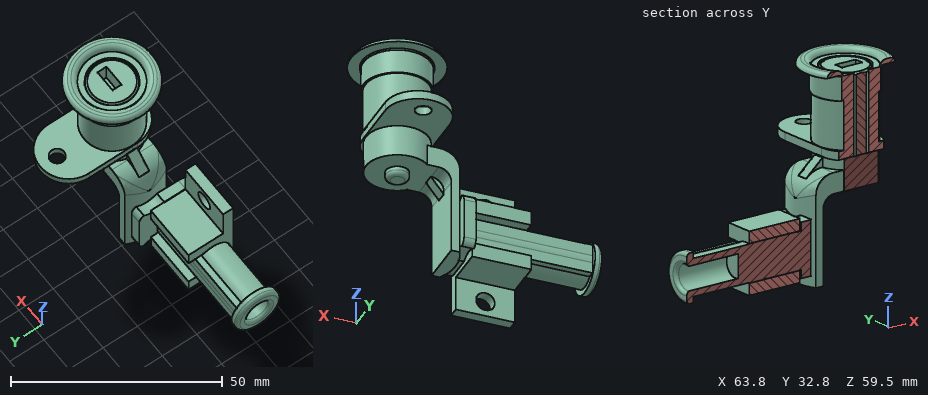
import cadquery as cq


overall_length = 63.8
overall_depth = 32.8
flange_radius = 23.7 / 2
flange_thick = 1.4
flange_round = 1.2
mouth_radius = 8.15
mouth_round = 1.6
neck_radius = 17.1 / 2
neck_flare = 0.3
neck_bottom = -7.9
barrel_radius = 16.3 / 2
plate_top = -20.2
plate_bottom = -22.45
plate_radius = 16.5 / 2
plate_near_y = -1.4
plate_far_y = overall_depth - flange_radius - plate_radius
plate_hole_dia = 4.0
plate_hole_y = 16.0
core_bore_radius = 13.0 / 2

core_radius = 12.7 / 2
core_chamfer = 0.5
core_top = -mouth_round
key_slot_length = 6.05
key_slot_width = 2.6
key_slot_depth = 5.1
key_slot_x = 1.0
stub_radius = 5.8 / 2
stub_bottom = -32.6
stub_round = 1.15

hub_radius = 16.0 / 2
hub_bottom = -30.55
arm_half_width = 6.1
arm_outer_x = -14.9
arm_inner_x = -11.3
arm_crown = 1.45
arm_top = -25.2
arm_bottom = -52.95
outer_bend = 6.7
inner_bend = 3.3
crease_round = 3.8
rib_width = 3.0
outer_rib_root_x = -7.6
outer_rib_foot_x = -12.9
outer_rib_foot_z = -27.05
inner_rib_foot_z = -34.7

pin_y = -5.0
pin_z = -42.55
bracket_x0 = -33.4
bracket_x1 = -18.3
bracket_length = bracket_x1 - bracket_x0
base_height = 33.95
base_y0 = -11.05
base_y1 = -8.05
jaw_y1 = 2.05
jaw_height = 16.15
jaw_gap = 8.55
bracket_hole_dia = 4.7
bracket_hole_pitch = 25.95

pin_x0 = flange_radius - overall_length
head_length = 2.05
head_radius = 13.0 / 2
head_round = 0.95
bore_radius = 6.5 / 2
bore_round = 0.95
bore_depth = 15.3
shaft_radius = 10.0 / 2
web_height = 7.8
web_y1 = -0.05
foot_x0 = -18.0
foot_y0 = -11.6
foot_y1 = 5.15
foot_half_height = 7.1
foot_corner = 3.2
notch_y0 = -2.25
notch_y1 = 3.8
notch_depth = 1.0
tip_half_height = 5.15
tip_bulge = 0.25


def z_cylinder(radius, top, bottom):
    return cq.Workplane("XY").workplane(offset=bottom).circle(radius).extrude(top - bottom)


def x_cylinder(radius, x0, x1):
    return (cq.Workplane("YZ", origin=(x0, pin_y, pin_z))
            .circle(radius).extrude(x1 - x0))


def block(x0, x1, y0, y1, z0, z1):
    return cq.Workplane("XY").box(x1 - x0, y1 - y0, z1 - z0, centered=False).translate((x0, y0, z0))


def y_extrude(outline, width):
    """Extrude an XZ outline symmetrically about Y = 0."""
    return outline.close().extrude(width / 2, both=True)


def make_housing():
    """Flanged barrel with a dished mouth and a fixing plate around its lower end."""
    shell = (
        cq.Workplane("XZ")
        .moveTo(core_bore_radius, -mouth_round)
        .lineTo(mouth_radius, -mouth_round)
        .radiusArc((mouth_radius + mouth_round, 0), mouth_round)
        .lineTo(flange_radius - flange_round, 0)
        .radiusArc((flange_radius, -flange_round), flange_round)
        .lineTo(flange_radius, -flange_thick)
        .lineTo(neck_radius + neck_flare, -flange_thick)
        .lineTo(neck_radius, -flange_thick - neck_flare)
        .lineTo(neck_radius, neck_bottom)
        .lineTo(barrel_radius, neck_bottom)
        .lineTo(barrel_radius, plate_bottom)
        .lineTo(core_bore_radius, plate_bottom)
        .close()
        .revolve(360, (0, 0, 0), (0, 1, 0))
    )
    plate_thick = plate_top - plate_bottom
    plate = (
        cq.Workplane("XY").workplane(offset=plate_bottom)
        .center(0, (plate_near_y + plate_far_y) / 2)
        .slot2D(plate_far_y - plate_near_y + 2 * plate_radius, 2 * plate_radius, 90)
        .extrude(plate_thick)
    )
    fixing_hole = z_cylinder(plate_hole_dia / 2, plate_top, plate_bottom).translate((0, plate_hole_y, 0))
    core_bore = z_cylinder(core_bore_radius, plate_top, plate_bottom)
    return shell.union(plate.cut(fixing_hole).cut(core_bore))


def make_core():
    """Keyed cylinder whose stub passes through the crank hub."""
    core = z_cylinder(core_radius, core_top, plate_bottom).faces(">Z").chamfer(core_chamfer)
    stub = z_cylinder(stub_radius, plate_bottom, stub_bottom).faces("<Z").edges().fillet(stub_round)
    key_slot = (
        cq.Workplane("XY").workplane(offset=core_top)
        .center(key_slot_x, 0).rect(key_slot_length, key_slot_width)
        .extrude(-key_slot_depth)
    )
    return core.union(stub).cut(key_slot)


def make_arm():
    """Bent arm with a crowned outer face, ending on the lock axis."""
    profile = (
        cq.Workplane("XZ")
        .moveTo(0, arm_top)
        .lineTo(arm_outer_x + outer_bend, arm_top)
        .radiusArc((arm_outer_x, arm_top - outer_bend), -outer_bend)
        .lineTo(arm_outer_x, arm_bottom)
        .lineTo(arm_inner_x, arm_bottom)
        .lineTo(arm_inner_x, hub_bottom - inner_bend)
        .radiusArc((arm_inner_x + inner_bend, hub_bottom), inner_bend)
        .lineTo(0, hub_bottom)
    )
    crown_edge_x = arm_outer_x + arm_crown
    crowned_plan = (
        cq.Workplane("XY").workplane(offset=arm_bottom)
        .moveTo(0, -arm_half_width)
        .lineTo(crown_edge_x, -arm_half_width)
        .threePointArc((arm_outer_x, 0), (crown_edge_x, arm_half_width))
        .lineTo(0, arm_half_width)
        .close()
        .extrude(arm_top - arm_bottom)
    )
    arm = y_extrude(profile, 2 * arm_half_width).intersect(crowned_plan)
    return arm.edges("%BSPLINE").fillet(crease_round)


def make_crank():
    """Hub and arm with a stiffening rib on each side of the bend."""
    hub = z_cylinder(hub_radius, plate_bottom, hub_bottom)
    outer_rib = y_extrude(
        cq.Workplane("XZ")
        .moveTo(outer_rib_root_x, plate_bottom)
        .lineTo(outer_rib_foot_x, outer_rib_foot_z)
        .lineTo(outer_rib_root_x, outer_rib_foot_z),
        rib_width,
    )
    inner_rib = y_extrude(
        cq.Workplane("XZ")
        .moveTo(arm_inner_x + inner_bend, hub_bottom)
        .lineTo(arm_inner_x, inner_rib_foot_z)
        .lineTo(arm_inner_x, hub_bottom),
        rib_width,
    )
    crank = hub.union(make_arm()).union(outer_rib).union(inner_rib)
    return crank.cut(z_cylinder(stub_radius, plate_bottom, hub_bottom))


def make_bracket():
    """Base plate with two jaws that guide the pin."""
    base = block(bracket_x0, bracket_x1, base_y0, base_y1, pin_z - base_height / 2, pin_z + base_height / 2)
    jaws = block(bracket_x0, bracket_x1, base_y1, jaw_y1, pin_z - jaw_height / 2, pin_z + jaw_height / 2)
    gap = block(bracket_x0, bracket_x1, pin_y, jaw_y1, pin_z - jaw_gap / 2, pin_z + jaw_gap / 2)
    bracket = base.union(jaws).cut(gap).cut(x_cylinder(shaft_radius, bracket_x0, bracket_x1))
    for side in (-1, 1):
        hole = (
            cq.Workplane("XZ", origin=(bracket_x0 + bracket_length / 2, base_y1,
                                       pin_z + side * bracket_hole_pitch / 2))
            .circle(bracket_hole_dia / 2).extrude(base_y1 - base_y0)
        )
        bracket = bracket.cut(hole)
    return bracket


def make_foot():
    """Flat end of the pin, notched near its far tips, that bears on the crank arm."""
    notch_y = (notch_y0 + notch_y1) / 2
    notch_z = foot_half_height - notch_depth
    tip_mid_y = (notch_y1 + foot_y1) / 2 + tip_bulge
    tip_mid_z = (foot_half_height + tip_half_height) / 2 + tip_bulge
    return (
        cq.Workplane("YZ", origin=(foot_x0, 0, pin_z))
        .moveTo(foot_y0, foot_half_height - foot_corner)
        .radiusArc((foot_y0 + foot_corner, foot_half_height), foot_corner)
        .lineTo(notch_y0, foot_half_height)
        .threePointArc((notch_y, notch_z), (notch_y1, foot_half_height))
        .threePointArc((tip_mid_y, tip_mid_z), (foot_y1, tip_half_height))
        .lineTo(foot_y1, -tip_half_height)
        .threePointArc((tip_mid_y, -tip_mid_z), (notch_y1, -foot_half_height))
        .threePointArc((notch_y, -notch_z), (notch_y0, -foot_half_height))
        .lineTo(foot_y0 + foot_corner, -foot_half_height)
        .radiusArc((foot_y0, -foot_half_height + foot_corner), foot_corner)
        .close()
        .extrude(arm_outer_x - foot_x0)
    )


def make_pin():
    """Headed shaft with a guiding web along one side and a blind bore in the head."""
    head_end = pin_x0 + head_length
    head = x_cylinder(head_radius, pin_x0, head_end).faces("<X").edges().fillet(head_round)
    shaft = x_cylinder(shaft_radius, head_end, foot_x0)
    web = block(head_end, foot_x0, pin_y, web_y1, pin_z - web_height / 2, pin_z + web_height / 2)
    pin = head.union(shaft).union(web).union(make_foot())
    pin = pin.cut(x_cylinder(bore_radius, pin_x0, pin_x0 + bore_depth))
    return pin.faces("<X").edges(cq.selectors.RadiusNthSelector(0)).fillet(bore_round)


housing = make_housing()
core = make_core()
crank = make_crank()
bracket = make_bracket()
pin = make_pin()

result = cq.Compound.makeCompound([housing.val(), core.val(), crank.val(), bracket.val(), pin.val()])